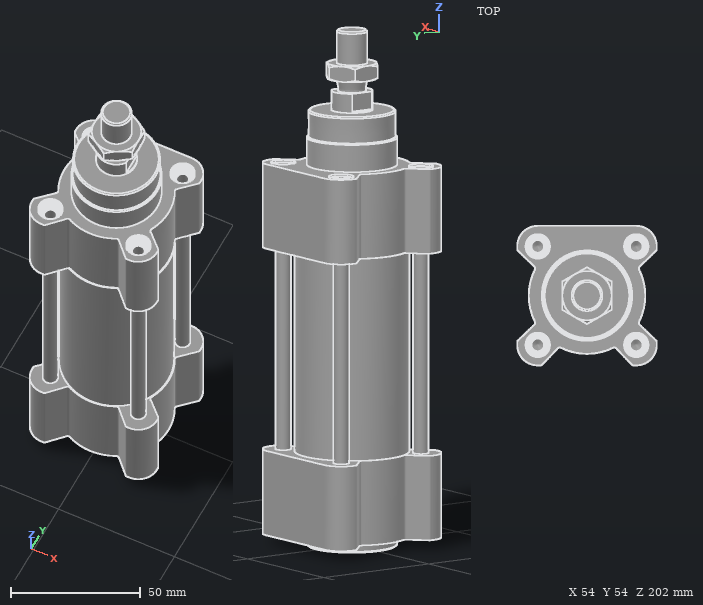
import cadquery as cq
import math

TOTAL_HEIGHT = 202.0

HEAD_WIDTH = 54.0
HEAD_CORE_DIA = 45.0
HEAD_HEIGHT = 33.1
REAR_HEAD_BOTTOM = 3.8
FRONT_HEAD_TOP = 149.2
TIE_ROD_OFFSET = 19.0
LUG_FLANK_INNER = 10.7
LUG_FLANK_OUTER = 17.5
NOTCH_FILLET = 1.0
LUG_FILLET = 1.0

BARREL_DIA = 44.5
TIE_ROD_DIA = 6.0

SOCKET_DIA = 9.5
SOCKET_CORE_DIA = 4.8
SOCKET_STEPS = 5
SOCKET_STEP_DEPTH = 0.8
SOCKET_DEPTH = 12.1
DRILL_POINT_ANGLE = 118.0

COLLAR_DIA = 35.0
COLLAR_TOP = 160.3
COLLAR_CHAMFER = 0.5
COVER_DIA = 33.7
COVER_WAIST_DIA = 33.5
COVER_TOP = 170.6
COVER_CHAMFER = 0.6

ROD_DIA = 16.0
ROD_FLATS_WIDTH = 13.0
ROD_FLATS_BOTTOM = 171.2
ROD_SHOULDER = 178.0
UNDERCUT_DIA = 11.0
UNDERCUT_TOP = 179.7
GROOVE_DIA = 10.7
GROOVE_SPACING = 0.6
THREAD_DIA = 12.0
THREAD_BOTTOM = 182.1
THREAD_CHAMFER = 0.7

NUT_WIDTH = 19.0
NUT_BOTTOM = 183.0
NUT_HEIGHT = 6.0
NUT_CHAMFER_ANGLE = 30.0
NUT_SIDES = 6

FRONT_HEAD_BOTTOM = FRONT_HEAD_TOP - HEAD_HEIGHT
REAR_HEAD_TOP = REAR_HEAD_BOTTOM + HEAD_HEIGHT
ROD_BOTTOM = FRONT_HEAD_BOTTOM
TIE_ROD_SIDES = (-TIE_ROD_OFFSET, TIE_ROD_OFFSET)
TIE_ROD_POINTS = [(x, y) for x in TIE_ROD_SIDES for y in TIE_ROD_SIDES]

ABOUT_Z = (360, (0, 0, 0), (0, 1, 0))


def cylinder(diameter, bottom, top):
    return cq.Workplane("XY").workplane(offset=bottom).circle(diameter / 2).extrude(top - bottom)


def head_notch(angle):
    """Cutter for the recess between two lugs, shaped on the -Y side and turned about Z."""
    half = HEAD_WIDTH / 2
    core_radius = HEAD_CORE_DIA / 2
    meet_y = -math.sqrt(core_radius**2 - LUG_FLANK_INNER**2)
    return (
        cq.Workplane("XY")
        .moveTo(-LUG_FLANK_OUTER, -half)
        .lineTo(-LUG_FLANK_INNER, meet_y)
        .threePointArc((0, -core_radius), (LUG_FLANK_INNER, meet_y))
        .lineTo(LUG_FLANK_OUTER, -half)
        .close()
        .extrude(HEAD_HEIGHT)
        .edges("|Z and >Y")
        .fillet(NOTCH_FILLET)
        .rotate((0, 0, 0), (0, 0, 1), angle)
    )


def lug_corners():
    """Points where the lug flanks of the -X, -Y and +X recesses meet the outer faces."""
    half = HEAD_WIDTH / 2
    edge = LUG_FLANK_OUTER
    below = [(-edge, -half), (edge, -half)]
    beside = [(x, y) for x in (-half, half) for y in (-edge, edge)]
    return below + beside


def head(bottom):
    """End block: rounded square with recesses on -X, -Y and +X and a flat +Y side."""
    block = (
        cq.Workplane("XY")
        .rect(HEAD_WIDTH, HEAD_WIDTH)
        .extrude(HEAD_HEIGHT)
        .edges("|Z")
        .fillet(HEAD_WIDTH / 2 - TIE_ROD_OFFSET)
    )
    for angle in (-90, 0, 90):
        block = block.cut(head_notch(angle))
    for x, y in lug_corners():
        corner = cq.selectors.NearestToPointSelector((x, y, HEAD_HEIGHT / 2))
        block = block.edges("|Z").edges(corner).fillet(LUG_FILLET)
    return block.translate((0, 0, bottom))


def socket():
    """Stepped, funnel-like blind bore on the Z axis, narrowing from the rim to the core."""
    tip = SOCKET_CORE_DIA / 2 / math.tan(math.radians(DRILL_POINT_ANGLE / 2))
    radius_step = (SOCKET_DIA - SOCKET_CORE_DIA) / 2 / SOCKET_STEPS
    profile = cq.Workplane("XZ").moveTo(0, FRONT_HEAD_TOP).lineTo(SOCKET_DIA / 2, FRONT_HEAD_TOP)
    for step in range(SOCKET_STEPS):
        radius = SOCKET_DIA / 2 - step * radius_step
        floor = FRONT_HEAD_TOP - (step + 1) * SOCKET_STEP_DEPTH
        profile = profile.lineTo(radius, floor).lineTo(radius - radius_step, floor)
    core_end = FRONT_HEAD_TOP - SOCKET_DEPTH
    return (
        profile.lineTo(SOCKET_CORE_DIA / 2, core_end)
        .lineTo(0, core_end - tip)
        .close()
        .revolve(*ABOUT_Z)
    )


def cover():
    """Ring above the front collar, slightly waisted and chamfered at its top rim."""
    bottom = COLLAR_TOP
    rim = COVER_TOP - COVER_CHAMFER
    radius = COVER_DIA / 2
    return (
        cq.Workplane("XZ")
        .moveTo(0, bottom)
        .lineTo(radius, bottom)
        .threePointArc((COVER_WAIST_DIA / 2, (bottom + rim) / 2), (radius, rim))
        .lineTo(radius - COVER_CHAMFER, COVER_TOP)
        .lineTo(0, COVER_TOP)
        .close()
        .revolve(*ABOUT_Z)
    )


def make_housing():
    """Barrel, both heads, tie rods, collars and cover as one solid, bored for the piston rod."""
    body = cylinder(BARREL_DIA, REAR_HEAD_TOP, FRONT_HEAD_BOTTOM)
    body = body.union(head(REAR_HEAD_BOTTOM)).union(head(FRONT_HEAD_BOTTOM))
    for x, y in TIE_ROD_POINTS:
        body = body.union(cylinder(TIE_ROD_DIA, REAR_HEAD_TOP, FRONT_HEAD_BOTTOM).translate((x, y, 0)))
    body = body.union(cylinder(COLLAR_DIA, 0, REAR_HEAD_BOTTOM).faces("<Z").chamfer(COLLAR_CHAMFER))
    body = body.union(cylinder(COLLAR_DIA, FRONT_HEAD_TOP, COLLAR_TOP).faces(">Z").chamfer(COLLAR_CHAMFER))
    body = body.union(cover())
    for x, y in TIE_ROD_POINTS:
        body = body.cut(socket().translate((x, y, 0)))
    return body.cut(cylinder(ROD_DIA, ROD_BOTTOM, COVER_TOP))


def make_rod():
    """Piston rod with two wrench flats, an undercut and a plain thread shank with a chamfered tip."""
    shank = cylinder(ROD_DIA, ROD_BOTTOM, ROD_SHOULDER)
    flats_height = ROD_SHOULDER - ROD_FLATS_BOTTOM
    for side in (-1, 1):
        flat = cq.Workplane("XY").box(ROD_DIA, 2 * ROD_DIA, flats_height, centered=(True, True, False))
        shank = shank.cut(flat.translate((side * (ROD_FLATS_WIDTH + ROD_DIA) / 2, 0, ROD_FLATS_BOTTOM)))
    thread = (
        cq.Workplane("XZ")
        .moveTo(0, ROD_SHOULDER)
        .lineTo(UNDERCUT_DIA / 2, ROD_SHOULDER)
        .lineTo(GROOVE_DIA / 2, ROD_SHOULDER + GROOVE_SPACING)
        .lineTo(GROOVE_DIA / 2, UNDERCUT_TOP - GROOVE_SPACING)
        .lineTo(UNDERCUT_DIA / 2, UNDERCUT_TOP)
        .lineTo(THREAD_DIA / 2, THREAD_BOTTOM)
        .lineTo(THREAD_DIA / 2, TOTAL_HEIGHT - THREAD_CHAMFER)
        .lineTo(THREAD_DIA / 2 - THREAD_CHAMFER, TOTAL_HEIGHT)
        .lineTo(0, TOTAL_HEIGHT)
        .close()
        .revolve(*ABOUT_Z)
    )
    return shank.union(thread)


def make_nut():
    """Hexagon nut with corners on +Y and -Y, conically chamfered at both ends."""
    half_side_angle = 180 / NUT_SIDES
    corner_dia = NUT_WIDTH / math.cos(math.radians(half_side_angle))
    drop = (corner_dia - NUT_WIDTH) / 2 * math.tan(math.radians(NUT_CHAMFER_ANGLE))
    blank = (
        cq.Workplane("XY")
        .polygon(NUT_SIDES, corner_dia)
        .extrude(NUT_HEIGHT)
        .rotate((0, 0, 0), (0, 0, 1), half_side_angle)
    )
    envelope = (
        cq.Workplane("XZ")
        .moveTo(0, 0)
        .lineTo(NUT_WIDTH / 2, 0)
        .lineTo(corner_dia / 2, drop)
        .lineTo(corner_dia / 2, NUT_HEIGHT - drop)
        .lineTo(NUT_WIDTH / 2, NUT_HEIGHT)
        .lineTo(0, NUT_HEIGHT)
        .close()
        .revolve(*ABOUT_Z)
    )
    nut = blank.intersect(envelope).translate((0, 0, NUT_BOTTOM))
    return nut.cut(cylinder(THREAD_DIA, NUT_BOTTOM, NUT_BOTTOM + NUT_HEIGHT))


housing = make_housing()
rod = make_rod()
nut = make_nut()
result = cq.Compound.makeCompound([housing.val(), rod.val(), nut.val()])